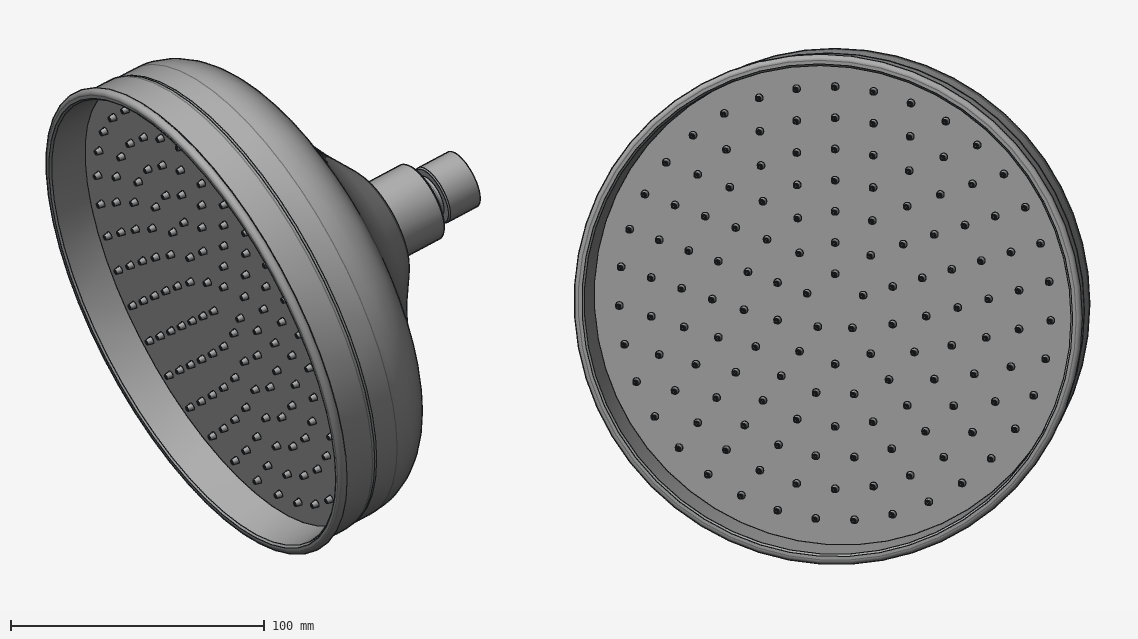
import cadquery as cq
import math


RIM_RADIUS = 102.0
BEAD_RADIUS = 2.0
BAND_RADIUS = RIM_RADIUS - BEAD_RADIUS
MOUTH_RADIUS = 98.5
MOUTH_CHAMFER = 0.8
FACE_RADIUS = 96.7
FACE_Y = 16.1
BAND_END_Y = 16.7
SEAM_Y = 18.0
SEAM_RADIUS = 99.8

RING_COUNT = 7
NOZZLES_PER_RING = 5
FIRST_RING_RADIUS = 11.8
LAST_RING_RADIUS = 86.7
RING_SPACING = (LAST_RING_RADIUS - FIRST_RING_RADIUS) / (RING_COUNT - 1)
NOZZLE_RADIUS = 1.53
NOZZLE_TIP_RADIUS = 1.0
NOZZLE_HEIGHT = 2.5
ORIFICE_RADIUS = 0.6

DOME_RADIUS = 99.3
FLARE_END_Y = 19.2
SHOULDER_START_Y = 29.0
SHOULDER_ARC_RADIUS = 23.5
SHOULDER_TOP_RADIUS = 86.0
SLOPE_MID_RADIUS = 50.0
SLOPE_MID_Y = 68.3
SLOPE_TOP_RADIUS = 26.7
SLOPE_TOP_Y = 85.7
CROWN_FLAT_RADIUS = 19.5
CROWN_Y = 88.3

COLLAR_RADIUS = 16.5
COLLAR_END_Y = 110.2
COLLAR_TOP_CHAMFER = 0.6
COLLAR_FOOT_CHAMFER = 0.8

NECK_RADIUS = 8.4
NECK_FLARE_RADIUS = 8.5
NECK_FLARE_LENGTH = 1.2
NUT_RADIUS = 12.2
NUT_START_Y = 115.0
NUT_CHAMFER = 0.6
OVERALL_LENGTH = 130.0


def turn(outline):
    """Revolve a closed (radius, Y) outline about the Y axis."""
    return outline.close().revolve(360, (0, 0, 0), (0, 1, 0))


def arc_middle(center, radius, start_angle, end_angle):
    """Point halfway along an arc, with its angles in radians."""
    angle = (start_angle + end_angle) / 2
    return center[0] + radius * math.cos(angle), center[1] + radius * math.sin(angle)


def make_nozzles():
    """All nozzles as short blunt cones, each with a blind orifice, standing on the spray face."""
    nozzle = turn(
        cq.Workplane("XY")
        .moveTo(0, SEAM_Y)
        .lineTo(NOZZLE_RADIUS, SEAM_Y)
        .lineTo(NOZZLE_RADIUS, FACE_Y)
        .lineTo(NOZZLE_TIP_RADIUS, FACE_Y - NOZZLE_HEIGHT)
        .lineTo(ORIFICE_RADIUS, FACE_Y - NOZZLE_HEIGHT)
        .lineTo(ORIFICE_RADIUS, FACE_Y)
        .lineTo(0, FACE_Y)
    ).val()
    nozzles = []
    for ring in range(1, RING_COUNT + 1):
        radius = FIRST_RING_RADIUS + (ring - 1) * RING_SPACING
        count = ring * NOZZLES_PER_RING
        for index in range(count):
            angle = 2 * math.pi * index / count
            place = cq.Vector(radius * math.sin(angle), 0, radius * math.cos(angle))
            nozzles.append(nozzle.translate(place))
    return nozzles


def make_spray_cup():
    """Band with a half-round bead along the rim, closed by the recessed spray face and its nozzles."""
    cup = turn(
        cq.Workplane("XY")
        .moveTo(0, FACE_Y)
        .lineTo(FACE_RADIUS, FACE_Y)
        .lineTo(MOUTH_RADIUS - MOUTH_CHAMFER, MOUTH_CHAMFER)
        .lineTo(MOUTH_RADIUS, 0)
        .lineTo(BAND_RADIUS, 0)
        .threePointArc((RIM_RADIUS, BEAD_RADIUS), (BAND_RADIUS, 2 * BEAD_RADIUS))
        .lineTo(BAND_RADIUS, BAND_END_Y)
        .lineTo(SEAM_RADIUS, SEAM_Y)
        .lineTo(0, SEAM_Y)
    )
    return cup.val().fuse(*make_nozzles()).Solids()[0]


def make_dome():
    """Bell-shaped back of the head, from the seam up to the flat under the collar."""
    shoulder_center = (DOME_RADIUS - SHOULDER_ARC_RADIUS, SHOULDER_START_Y)
    shoulder_angle = math.acos((SHOULDER_TOP_RADIUS - shoulder_center[0]) / SHOULDER_ARC_RADIUS)
    shoulder_top_y = SHOULDER_START_Y + SHOULDER_ARC_RADIUS * math.sin(shoulder_angle)
    shoulder_middle = arc_middle(shoulder_center, SHOULDER_ARC_RADIUS, 0, shoulder_angle)

    crown_width = SLOPE_TOP_RADIUS - CROWN_FLAT_RADIUS
    crown_drop = CROWN_Y - SLOPE_TOP_Y
    crown_arc_radius = (crown_width**2 + crown_drop**2) / (2 * crown_drop)
    crown_center = (CROWN_FLAT_RADIUS, CROWN_Y - crown_arc_radius)
    crown_angle = math.acos(crown_width / crown_arc_radius)
    crown_middle = arc_middle(crown_center, crown_arc_radius, crown_angle, math.pi / 2)

    return turn(
        cq.Workplane("XY")
        .moveTo(0, SEAM_Y)
        .lineTo(SEAM_RADIUS, SEAM_Y)
        .lineTo(DOME_RADIUS, FLARE_END_Y)
        .lineTo(DOME_RADIUS, SHOULDER_START_Y)
        .threePointArc(shoulder_middle, (SHOULDER_TOP_RADIUS, shoulder_top_y))
        .threePointArc((SLOPE_MID_RADIUS, SLOPE_MID_Y), (SLOPE_TOP_RADIUS, SLOPE_TOP_Y))
        .threePointArc(crown_middle, (CROWN_FLAT_RADIUS, CROWN_Y))
        .lineTo(0, CROWN_Y)
    ).val()


def make_collar():
    """Cylindrical collar seated on the crown of the dome."""
    return (
        cq.Workplane("XZ", origin=(0, CROWN_Y, 0))
        .circle(COLLAR_RADIUS)
        .extrude(CROWN_Y - COLLAR_END_Y)
        .faces("<Y").chamfer(COLLAR_FOOT_CHAMFER)
        .faces(">Y").chamfer(COLLAR_TOP_CHAMFER)
    ).val()


def make_connector():
    """Pipe nut on a narrow neck that widens slightly at both ends."""
    return turn(
        cq.Workplane("XY")
        .moveTo(0, COLLAR_END_Y)
        .lineTo(NECK_FLARE_RADIUS, COLLAR_END_Y)
        .lineTo(NECK_RADIUS, COLLAR_END_Y + NECK_FLARE_LENGTH)
        .lineTo(NECK_RADIUS, NUT_START_Y - NECK_FLARE_LENGTH)
        .lineTo(NECK_FLARE_RADIUS, NUT_START_Y)
        .lineTo(NUT_RADIUS - NUT_CHAMFER, NUT_START_Y)
        .lineTo(NUT_RADIUS, NUT_START_Y + NUT_CHAMFER)
        .lineTo(NUT_RADIUS, OVERALL_LENGTH)
        .lineTo(0, OVERALL_LENGTH)
    ).val()


spray_cup = make_spray_cup()
dome = make_dome()
collar = make_collar()
connector = make_connector()

result = cq.Compound.makeCompound([spray_cup, dome, collar, connector])